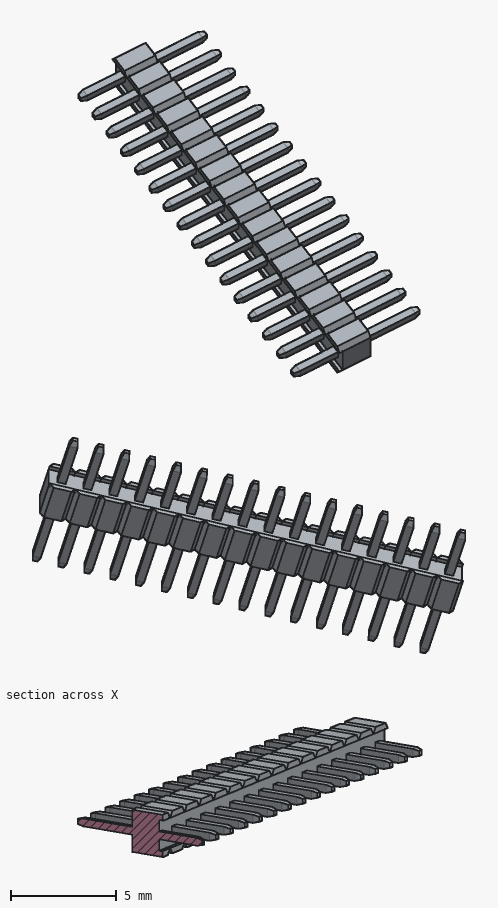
import cadquery as cq

pin_count = 16
row_length = 20.32
pitch = row_length / pin_count

body_height = 2.1
body_depth = 1.73
bevel_width = 0.2
bevel_height = 0.3
recess_depth = 0.18

pin_length = 7.03
pin_size = 0.4
tip_length = 0.3
tip_size = 0.25
rear_reach = 3.07

pin_front = -pin_length / 2
pin_rear = pin_length / 2
body_rear = pin_rear - rear_reach

wall_height = body_height - 2 * bevel_height
cell_centres = [(i - (pin_count - 1) / 2) * pitch for i in range(pin_count)]


def make_tooth(x, side):
    """Bevelled tooth above (side=1) or below (side=-1) the wall, running the full body depth."""
    base = side * wall_height / 2
    crest = side * body_height / 2
    half_base = pitch / 2
    half_crest = half_base - bevel_width
    return (
        cq.Workplane("XZ", origin=(x, body_rear, 0))
        .moveTo(-half_base, base)
        .lineTo(half_base, base)
        .lineTo(half_crest, crest)
        .lineTo(-half_crest, crest)
        .close()
        .extrude(body_depth)
    )


def make_body():
    """Continuous wall, set back at the front, with a row of teeth on its top and bottom."""
    wall_depth = body_depth - recess_depth
    body = cq.Workplane("XY").box(row_length, wall_depth, wall_height)
    body = body.translate((0, body_rear - wall_depth / 2, 0))
    for x in cell_centres:
        for side in (1, -1):
            body = body.union(make_tooth(x, side))
    return body


def make_tip(x, tip_start, direction):
    """Square taper that starts at tip_start and narrows along +Y (1) or -Y (-1)."""
    plane = cq.Plane(origin=(x, tip_start, 0), xDir=(1, 0, 0), normal=(0, direction, 0))
    return (
        cq.Workplane(plane)
        .rect(pin_size, pin_size)
        .workplane(offset=tip_length)
        .rect(tip_size, tip_size)
        .loft(ruled=True)
    )


def make_pin(x):
    """Square pin with a tapered tip at both ends."""
    shank = cq.Workplane("XY").box(pin_size, pin_length - 2 * tip_length, pin_size)
    shank = shank.translate((x, 0, 0))
    rear_tip = make_tip(x, pin_rear - tip_length, 1)
    front_tip = make_tip(x, pin_front + tip_length, -1)
    return shank.union(rear_tip).union(front_tip)


result = make_body()
for pin_x in cell_centres:
    result = result.union(make_pin(pin_x))